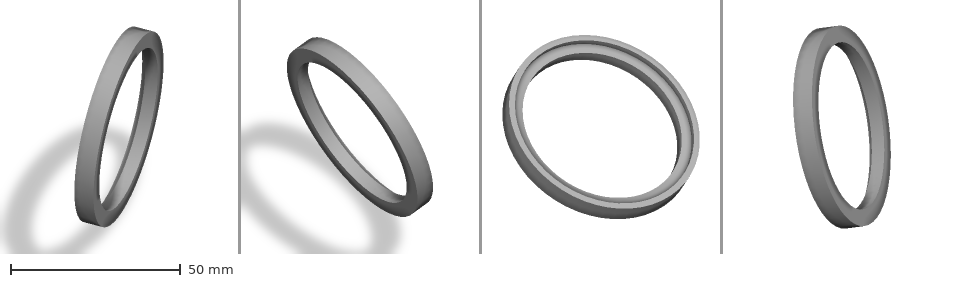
import cadquery as cq

outer_diameter = 59.5
bore_diameter = 49.6
recess_diameter = 55.8
width = 6.0
recess_depth = 2.0

ring = (
    cq.Workplane("YZ", origin=(-width / 2, 0, 0))
    .circle(outer_diameter / 2)
    .circle(bore_diameter / 2)
    .extrude(width)
)

recess = (
    cq.Workplane("YZ", origin=(-width / 2, 0, 0))
    .circle(recess_diameter / 2)
    .extrude(recess_depth)
)

result = ring.cut(recess)